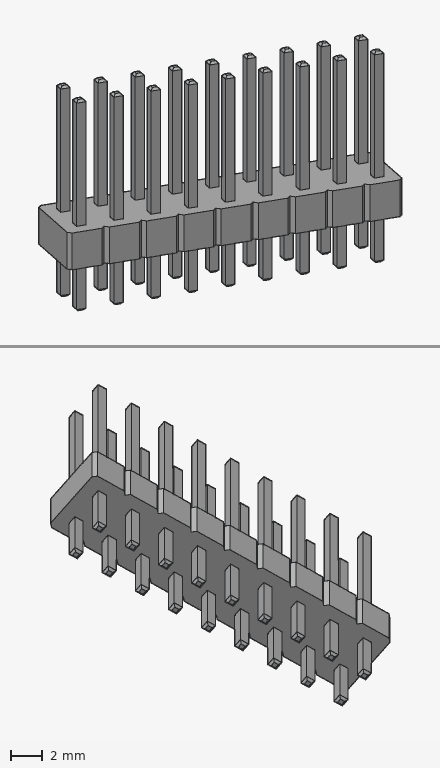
import cadquery as cq

column_count = 2
row_count = 9
body_length = 22.85
pitch = body_length / row_count

body_width = 5.0
body_height = 2.5
notch_depth = 0.25
notch_half_width = notch_depth

pin_size = 0.65
pin_above_body = 8.5
pin_below_body = 3.31
pin_length = pin_above_body + body_height + pin_below_body
tip_chamfer = 0.15


def side_outline():
    """Points of the +X side, from -Y to +Y: one chamfered segment for each pin row."""
    outer_x = body_width / 2
    root_x = outer_x - notch_depth
    points = [(root_x, -body_length / 2)]
    for row in range(row_count):
        segment_start = row * pitch - body_length / 2
        segment_end = segment_start + pitch
        points.append((outer_x, segment_start + notch_half_width))
        points.append((outer_x, segment_end - notch_half_width))
        points.append((root_x, segment_end))
    return points


def make_body():
    """Housing with V notches between rows and matching chamfers at its corners."""
    right_side = side_outline()
    left_side = [(-x, y) for x, y in reversed(right_side)]
    return cq.Workplane("XY").polyline(right_side + left_side).close().extrude(body_height)


def make_pins():
    """All pins, each running through the housing and tapered at both ends."""
    return (
        cq.Workplane("XY", origin=(0, 0, -pin_below_body))
        .rarray(pitch, pitch, column_count, row_count)
        .rect(pin_size, pin_size)
        .extrude(pin_length)
        .faces("<Z or >Z")
        .chamfer(tip_chamfer)
    )


result = make_body().union(make_pins())